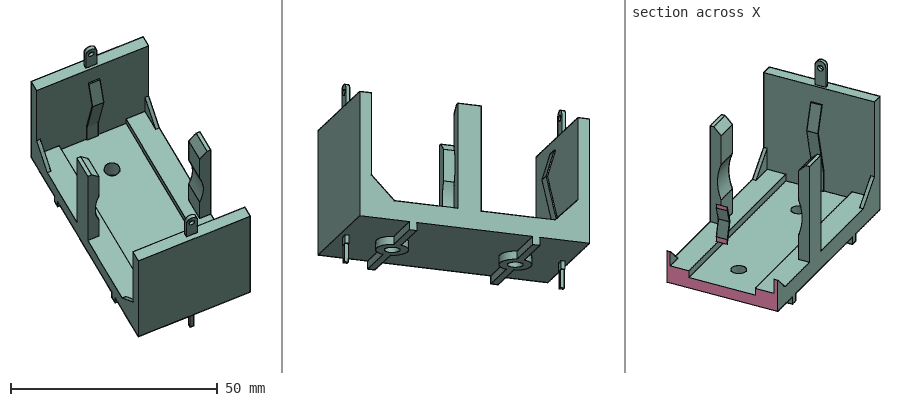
import cadquery as cq


length = 59.1
width = 30.2
wall_height = 32.0
wall_thickness = 3.0
shelf_height = 4.95
shelf_width = 6.1
floor_height = 3.1
inner_half_length = length / 2 - wall_thickness
gusset_leg = 5.9
gusset_thickness = 1.0

post_width = 6.0
post_depth = 3.0
post_tip = 1.0
post_chamfer = post_depth - post_tip
posts_meet_x = 1.7
grip_chord = 10.0
grip_center_z = 16.85
grip_radius = ((width / 2 - post_depth) ** 2 + (grip_chord / 2) ** 2) ** 0.5

hole_offset = 15.85
hole_diameter = 3.8
boss_diameter = 8.0
foot_height = 2.05
foot_bar_width = 1.9

terminal_thickness = 1.0
terminal_outer_gap = 1.3
terminal_x = -length / 2 + terminal_outer_gap + terminal_thickness / 2
lug_width = 2.95
lug_height = 7.0
lug_hole_diameter = 1.5
lug_hole_drop = 2.0
pin_length = 6.75
pin_width = 1.0
pin_shoulder_width = 2.0

spring_width = 3.0
spring_center_y = -0.1
spring_thickness = 0.35
spring_inset = 0.05
spring_root_z = 8.35
spring_bend_z = 21.05
spring_tip_z = 27.95
spring_bend_reach = 3.0
spring_tip_reach = 0.95


def block(x_size, y_size, z_bottom, z_top, x=0):
    """Box centred at (x, 0) between two heights."""
    height = z_top - z_bottom
    return cq.Workplane("XY").box(x_size, y_size, height, (True, True, False)).translate((x, 0, z_bottom))


def make_both_ends(part):
    """The part together with its mirror image at the other end."""
    return part.union(part.mirror("YZ"))


def make_tray():
    """Base with a sunken floor between two shelves, and a wall at each end."""
    base = block(length, width, 0, shelf_height)
    recess = block(2 * inner_half_length, width - 2 * shelf_width, floor_height, shelf_height)
    wall = block(wall_thickness, width, 0, wall_height, x=-(length - wall_thickness) / 2)
    return base.cut(recess).union(make_both_ends(wall))


def make_gussets():
    """Triangular webs in the four corners between walls and shelves."""
    gusset = (
        cq.Workplane("XZ", origin=(-inner_half_length, -width / 2, shelf_height))
        .polyline([(0, 0), (gusset_leg, 0), (0, gusset_leg)])
        .close()
        .extrude(-gusset_thickness)
    )
    side_pair = gusset.union(gusset.mirror("XZ"))
    return make_both_ends(side_pair)


def make_posts():
    """Chamfered posts, hollowed by the cylinder that the battery fills."""
    outer_y = -width / 2
    inner_y = outer_y + post_depth
    profile = [
        (outer_y, 0),
        (inner_y, 0),
        (inner_y, wall_height - post_chamfer),
        (outer_y + post_tip, wall_height),
        (outer_y, wall_height),
    ]
    post = cq.Workplane("YZ").polyline(profile).close().extrude(post_width)
    front_post = post.translate((posts_meet_x - post_width, 0, 0))
    back_post = post.mirror("XZ").translate((posts_meet_x, 0, 0))
    battery = (
        cq.Workplane("YZ", origin=(-length / 2, 0, grip_center_z))
        .circle(grip_radius)
        .extrude(length)
    )
    return front_post.union(back_post).cut(battery)


def make_feet():
    """Round bosses crossed by bars over the full width of the underside."""
    boss = (
        cq.Workplane("XY", origin=(-hole_offset, 0, -foot_height))
        .circle(boss_diameter / 2)
        .extrude(foot_height)
    )
    bar = block(foot_bar_width, width, -foot_height, 0, x=-hole_offset)
    return make_both_ends(boss.union(bar))


def make_screw_holes():
    """Cutters through the base and the bosses."""
    return (
        cq.Workplane("XY", origin=(0, 0, -foot_height))
        .pushPoints([(-hole_offset, 0), (hole_offset, 0)])
        .circle(hole_diameter / 2)
        .extrude(foot_height + shelf_height)
    )


def make_terminals():
    """Rounded solder lugs on top of the walls and stepped pins underneath."""
    lug_top = wall_height + lug_height
    lug_radius = lug_width / 2
    shoulder_z = lug_top - lug_radius
    lug = (
        cq.Workplane("YZ", origin=(terminal_x - terminal_thickness / 2, 0, 0))
        .moveTo(-lug_radius, wall_height)
        .lineTo(lug_radius, wall_height)
        .lineTo(lug_radius, shoulder_z)
        .threePointArc((0, lug_top), (-lug_radius, shoulder_z))
        .close()
        .extrude(terminal_thickness)
    )
    lug_hole = (
        cq.Workplane("YZ", origin=(-length / 2, 0, lug_top - lug_hole_drop))
        .circle(lug_hole_diameter / 2)
        .extrude(wall_thickness)
    )
    shoulder = block(terminal_thickness, pin_shoulder_width, -foot_height, 0, x=terminal_x)
    pin = block(terminal_thickness, pin_width, -pin_length, 0, x=terminal_x)
    return make_both_ends(lug.cut(lug_hole).union(shoulder).union(pin))


def make_springs():
    """Bent contact strips that rise from the floor, their feet let slightly into the end walls."""
    wall_side = [
        (-spring_inset, floor_height),
        (-spring_inset, spring_root_z),
        (spring_bend_reach, spring_bend_z),
        (spring_tip_reach, spring_tip_z),
    ]
    battery_side = [(x + spring_thickness, z) for x, z in reversed(wall_side)]
    spring = (
        cq.Workplane("XZ", origin=(-inner_half_length, spring_center_y - spring_width / 2, 0))
        .polyline(wall_side + battery_side)
        .close()
        .extrude(-spring_width)
    )
    return make_both_ends(spring)


result = (
    make_tray()
    .union(make_gussets())
    .union(make_posts())
    .union(make_feet())
    .cut(make_screw_holes())
    .union(make_terminals())
    .union(make_springs())
)